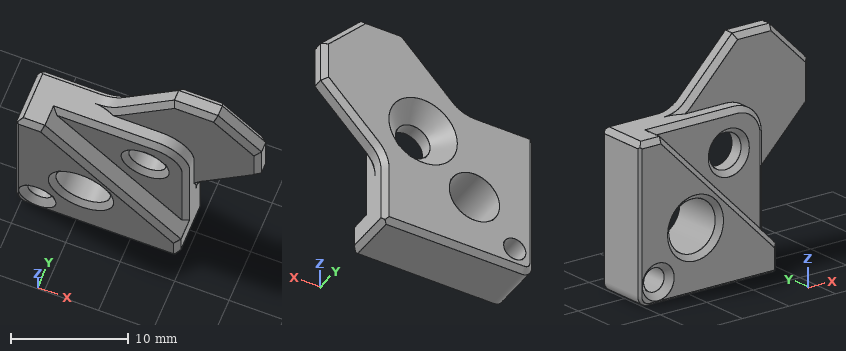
import cadquery as cq

overall = 21.0
depth = 5.5
body = 15.0
arm_thickness = 2.0
ledge_depth = 2.0
arm_root = 7.0
tip_flat = 4.01
wedge_start = 2.5
bevel = 0.5
small_bevel = 0.25
bottom_left_radius = 1.0
ledge_radius = 3.0
arm_root_radius = 3.0

hole_bevel = 0.5
clamp_hole_center = 6.0
clamp_hole_diameter = 5.0
pin_hole_center = 2.0
pin_hole_diameter = 2.2
pin_hole_bevel = 0.6
ledge_hole_center = 11.1
ledge_hole_diameter = 3.4
screw_head_depth = 1.7

flat_end = overall - (body - arm_root)
flat_start = flat_end + tip_flat


def prism(points, front, back):
    """Extrude an X-Z outline between two Y positions."""
    return cq.Workplane("XZ", origin=(0, back, 0)).polyline(points).close().extrude(back - front)


def vertical_edge(solid, x, z):
    """Select the Y-parallel edge nearest to an X-Z position."""
    return solid.edges("|Y").edges(cq.NearestToPointSelector((x, depth / 2, z)))


def make_back_plate():
    """Body and arm in one plate, beveled on both faces."""
    outline = [
        (0, 0),
        (body, 0),
        (body, arm_root),
        (overall, flat_end),
        (overall, flat_start),
        (flat_start, overall),
        (flat_end, overall),
        (arm_root, body),
        (0, body),
    ]
    plate = prism(outline, depth - arm_thickness, depth)
    plate = vertical_edge(plate, 0, 0).fillet(bottom_left_radius)
    for x, z in [(body, arm_root), (arm_root, body)]:
        plate = vertical_edge(plate, x, z).fillet(arm_root_radius)
    return plate.faces("<Y or >Y").edges().chamfer(bevel)


def make_ledge():
    """Square block behind the wedge, with a rounded, beveled upper corner."""
    square = [(0, 0), (body, 0), (body, body), (0, body)]
    ledge = prism(square, ledge_depth, depth - bevel)
    ledge = vertical_edge(ledge, body, body).fillet(ledge_radius)
    ledge = vertical_edge(ledge, 0, 0).fillet(bottom_left_radius)
    return ledge.faces("<Y").edges().chamfer(bevel)


def front_edges(solid, sides, corner):
    """Select the front edges on two sides, plus the one joining them near X = Z = corner."""
    front = solid.faces("<Y")
    joining_edge = front.edges(cq.NearestToPointSelector((corner, 0, corner)))
    return front.edges(sides).add(joining_edge)


def make_wedge():
    """Raised front part, cut off by a 45 degree face."""
    outline = [(0, 0), (body, 0), (body, wedge_start), (wedge_start, body), (0, body)]
    wedge = prism(outline, 0, depth - bevel)
    wedge = vertical_edge(wedge, 0, 0).fillet(bottom_left_radius)
    wedge = front_edges(wedge, "<X or <Z", 0).chamfer(small_bevel)
    return front_edges(wedge, ">X or >Z", body / 2).chamfer(bevel)


def cut_corners(solid):
    """Bevel the upper left and lower right corners through the full depth."""
    upper_left = [(0, body), (0, body - bevel), (bevel, body)]
    lower_right = [(body, 0), (body - bevel, 0), (body, bevel)]
    for corner in (upper_left, lower_right):
        solid = solid.cut(prism(corner, 0, depth))
    return solid


def countersink(center, diameter, width, face, direction):
    """Cone cutter at 45 degrees, narrowing from a face along +Y (1) or -Y (-1)."""
    radius = diameter / 2
    return cq.Workplane(
        cq.Solid.makeCone(
            radius + width,
            radius,
            width,
            cq.Vector(center, face, center),
            cq.Vector(0, direction, 0),
        )
    )


def cut_hole(solid, center, diameter, width, front):
    """Through hole with a countersink at its front face."""
    bore = cq.Workplane("XZ", origin=(center, front, center)).circle(diameter / 2).extrude(-depth)
    return solid.cut(bore).cut(countersink(center, diameter, width, front, 1))


result = make_back_plate().union(make_ledge()).union(make_wedge())
result = cut_corners(result)
result = cut_hole(result, clamp_hole_center, clamp_hole_diameter, hole_bevel, 0)
result = cut_hole(result, pin_hole_center, pin_hole_diameter, pin_hole_bevel, 0)
result = cut_hole(result, ledge_hole_center, ledge_hole_diameter, hole_bevel, ledge_depth)

screw_head = countersink(ledge_hole_center, ledge_hole_diameter, screw_head_depth, depth, -1)
result = result.cut(screw_head)